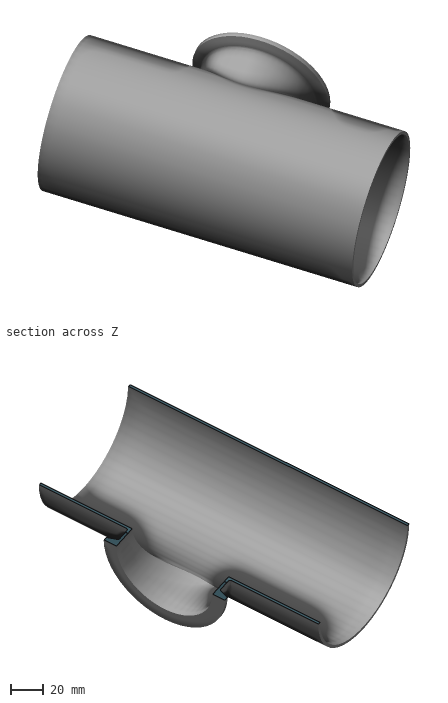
import cadquery as cq
import math

run_length = 209.5
run_diameter = 101.7
wall = 2.0
run_radius = run_diameter / 2
run_bore_radius = run_radius - wall

branch_diameter = 76.3
branch_radius = branch_diameter / 2
branch_bore_radius = branch_radius - wall
weld_fillet_radius = 1.5

overall_depth = 117.5
ferrule_length = 12.8
rim_diameter = 91.0
rim_thickness = 3.0
cone_length = 2.7
neck_fillet_radius = 1.3
rim_radius = rim_diameter / 2
ferrule_face_y = overall_depth - run_radius
joint_y = ferrule_face_y - ferrule_length
rim_back_y = ferrule_face_y - rim_thickness
neck_y = rim_back_y - cone_length

margin = 1.0


def cylinder_x(radius):
    """Cylinder along the run axis, over the full run length."""
    return cq.Workplane("YZ").circle(radius).extrude(run_length / 2, both=True)


def cylinder_y(radius, length):
    """Cylinder along +Y, starting on the run axis."""
    return cq.Workplane("XZ").circle(radius).extrude(-length)


def make_tee():
    """Run pipe and branch stub with a filleted weld and open bores."""
    tee = cylinder_x(run_radius).union(cylinder_y(branch_radius, joint_y))
    seam_low_y = math.sqrt(run_radius**2 - branch_radius**2)
    seam_box = cq.selectors.BoxSelector(
        (-branch_radius - margin, seam_low_y - margin, -branch_radius - margin),
        (branch_radius + margin, run_radius + margin, branch_radius + margin),
        boundingbox=True,
    )
    tee = tee.edges(seam_box).fillet(weld_fillet_radius)
    return tee.cut(cylinder_x(run_bore_radius)).cut(cylinder_y(branch_bore_radius, joint_y))


def make_ferrule():
    """Short tube with a clamp rim, a conical back and a filleted neck."""
    profile = (
        cq.Workplane("XY")
        .moveTo(branch_bore_radius, joint_y)
        .lineTo(branch_radius, joint_y)
        .lineTo(branch_radius, neck_y)
        .lineTo(rim_radius, rim_back_y)
        .lineTo(rim_radius, ferrule_face_y)
        .lineTo(branch_bore_radius, ferrule_face_y)
        .close()
    )
    ferrule = profile.revolve(360, (0, 0, 0), (0, 1, 0))
    neck_box = cq.selectors.BoxSelector(
        (-rim_radius, neck_y - margin, -rim_radius),
        (rim_radius, neck_y + margin, rim_radius),
        boundingbox=True,
    )
    return ferrule.edges(neck_box).fillet(neck_fillet_radius)


tee = make_tee()
ferrule = make_ferrule()
result = cq.Compound.makeCompound([tee.solids().val(), ferrule.solids().val()])